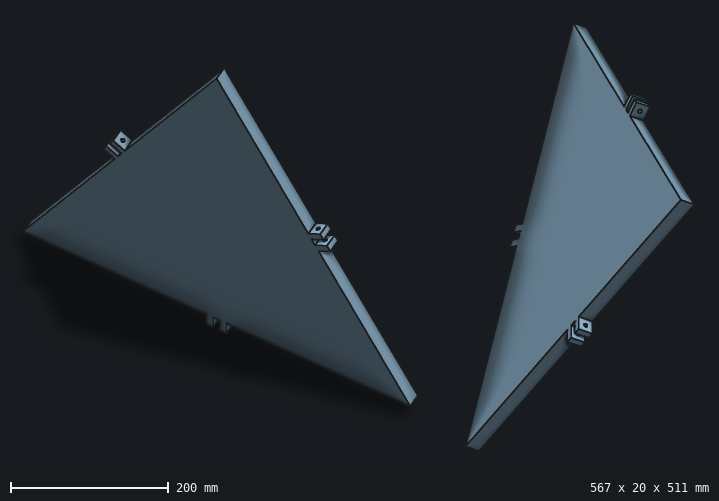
import cadquery as cq
import math

side_length = 567.0
thickness = 20.0
panel_height = side_length * math.sqrt(3) / 2
inradius = panel_height / 3

lug_length = 20.0
lug_width = 10.0
lug_gap = 10.0
pin_hole_diameter = 5.0
pin_height = lug_length / 2
lug_root = 5.0

side_count = 3
side_angle = 360.0 / side_count


def make_panel():
    """Equilateral plate centred on the origin, with its lower side along X."""
    corners = [
        (-side_length / 2, -inradius),
        (side_length / 2, -inradius),
        (0, panel_height - inradius),
    ]
    return cq.Workplane("XZ").polyline(corners).close().extrude(thickness / 2, both=True)


def make_lug_pair():
    """Two drilled lugs pointing down from the middle of the lower side."""
    lug_offset = (lug_gap + lug_width) / 2
    lug_height = lug_length + lug_root
    lug_center_z = -inradius - lug_length + lug_height / 2
    lugs = (
        cq.Workplane("XZ", origin=(0, 0, lug_center_z))
        .pushPoints([(-lug_offset, 0), (lug_offset, 0)])
        .rect(lug_width, lug_height)
        .extrude(thickness / 2, both=True)
    )
    pin_hole = (
        cq.Workplane("YZ", origin=(0, 0, -inradius - pin_height))
        .circle(pin_hole_diameter / 2)
        .extrude(lug_offset + lug_width, both=True)
    )
    return lugs.cut(pin_hole)


result = make_panel()
for index in range(side_count):
    result = result.union(make_lug_pair().rotate((0, 0, 0), (0, 1, 0), index * side_angle))
result = result.clean()